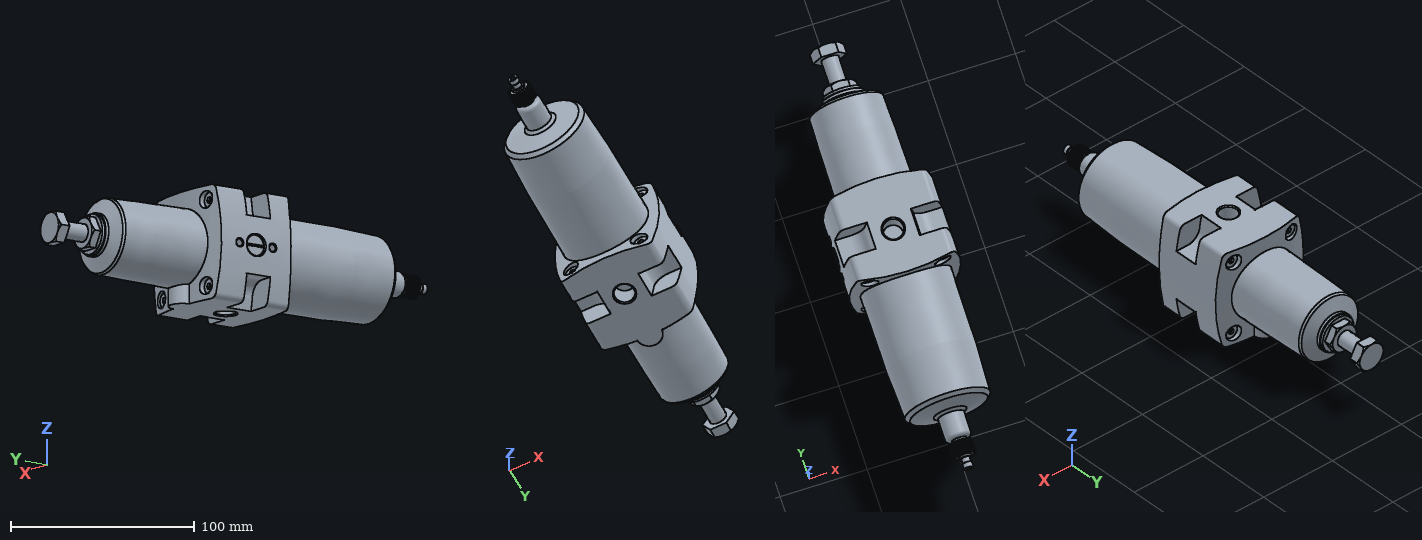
import cadquery as cq
import math


length = 251.3
top_end = length / 2
bottom_end = -length / 2

block_width = 64.0
block_top = 37.7
block_bottom = -17.8
block_bulge = 4.5
block_corner_radius = 3.8
half_width = block_width / 2
block_mid = (block_top + block_bottom) / 2

notch_wall_top_x = 12.5
notch_wall_foot_x = 13.8
notch_floor_z = 16.3
notch_radius = 8.8
notch_length = 15.8
notch_y = 7.5

port_diameter = 11.5
port_mouth_diameter = 13.0
port_depth = 12.5
plug_recess = 1.0
plug_slot_width = 1.0
plug_slot_depth = 1.5
side_hole_diameter = 4.0
side_hole_mouth_diameter = 5.0
side_hole_spacing = 22.0
side_hole_depth = 6.3
drill_tip_angle = 118.0

head_x = 20.9
head_z = 24.0
head_pocket_diameter = 9.5
head_diameter = 8.3
head_pocket_depth = 5.0
head_height = 3.0
socket_flats = 3.0
socket_depth = 1.5

vent_radius = 7.5
vent_y = 36.7

bonnet_seat = 34.0
bonnet_base_radius = 22.4
bonnet_seam_radius = 21.9
bonnet_seam = 70.9
bonnet_shoulder_radius = 21.4
bonnet_shoulder = 89.7
bonnet_cone_radius = 20.5
bonnet_cone_start = 91.2
bonnet_cone_end = 94.5
bonnet_collar_radius = 12.0
bonnet_collar_end = 96.5
bonnet_nose_radius = 11.3
bonnet_nose_end = 98.3

hex_flats = 17.0
hex_chamfer = 1.0
shank_diameter = 10.0
bolt_head_height = 6.5
nut_height = 5.0
shank_end = 88.0

bowl_seat = -13.8
bowl_base_radius = 26.1
bowl_seam_radius = 26.0
bowl_seam = -60.3
bowl_rim_radius = 24.6
bowl_rim = -88.2
bowl_end_radius = 22.4
bowl_end = -90.5
bowl_cone_radius = 9.5
bowl_cone_end = -92.7
spout_radius = 7.5
spout_start = -94.2
spout_end = -108.5
spout_round = 2.3

stem_diameter = 8.5
stem_length = 5.0
knob_diameter = 13.0
knob_root_diameter = 11.0
knob_start = -110.3
knob_end = -118.4
knob_teeth = 36
collar_diameter = 7.5
collar_end = -119.5
neck_diameter = 5.0
tip_diameter = 5.8
tip_start = -122.6
drain_bore_diameter = 2.5
drain_bore_depth = 3.8


def turned(points):
    """Solid of revolution about Y from (radius, y) points."""
    return cq.Workplane("XY").polyline(points).close().revolve(360, (0, 0), (0, 1))


def cylinder_y(diameter, y_low, y_high, x=0.0, z=0.0):
    """Cylinder along Y between two heights."""
    start = cq.Workplane("XZ", origin=(x, y_low, z))
    return start.circle(diameter / 2).extrude(-(y_high - y_low))


def hexagon_y(flats, y_low, y_high, x=0.0, z=0.0):
    """Hexagonal prism along Y with two corners on the X direction."""
    start = cq.Workplane("XZ", origin=(x, y_low, z))
    return start.polygon(6, flats / math.cos(math.pi / 6)).extrude(-(y_high - y_low))


def chamfered_hexagon(flats, y_low, y_high):
    """Hexagonal prism whose corners are turned to a cone at the +Y end."""
    corner_radius = flats / 2 / math.cos(math.pi / 6)
    cone = turned([
        (0, y_low),
        (corner_radius, y_low),
        (corner_radius, y_high - hex_chamfer),
        (flats / 2, y_high),
        (0, y_high),
    ])
    return hexagon_y(flats, y_low, y_high).intersect(cone)



def block_blank():
    """Barrel-sided block whose two ends bulge along Y."""
    bulge_x = half_width - block_bulge
    front = (
        cq.Workplane("XZ", origin=(0, block_bottom, 0))
        .moveTo(-bulge_x, half_width)
        .lineTo(bulge_x, half_width)
        .threePointArc((half_width, 0), (bulge_x, -half_width))
        .lineTo(-bulge_x, -half_width)
        .threePointArc((-half_width, 0), (-bulge_x, half_width))
        .close()
        .extrude(-(block_top - block_bottom))
        .edges("|Y")
        .fillet(block_corner_radius)
    )
    plan = (
        cq.Workplane("XY", origin=(0, 0, -half_width))
        .moveTo(-half_width, block_top - block_bulge)
        .threePointArc((0, block_top), (half_width, block_top - block_bulge))
        .lineTo(half_width, block_bottom + block_bulge)
        .threePointArc((0, block_bottom), (-half_width, block_bottom + block_bulge))
        .close()
        .extrude(block_width)
    )
    return front.intersect(plan)


def corner_notch():
    """Cutter for the +X +Z notch: a flat floor rising through a round into a leaning wall."""
    round_x = notch_wall_foot_x + notch_radius
    round_z = notch_floor_z + notch_radius
    diagonal = notch_radius * math.cos(math.pi / 4)
    return (
        cq.Workplane("XZ", origin=(0, notch_y - notch_length / 2, 0))
        .moveTo(half_width, notch_floor_z)
        .lineTo(round_x, notch_floor_z)
        .threePointArc((round_x - diagonal, round_z - diagonal), (notch_wall_foot_x, round_z))
        .lineTo(notch_wall_top_x, half_width)
        .lineTo(half_width, half_width)
        .close()
        .extrude(-notch_length)
    )


def drilled_hole(diameter, mouth_diameter, depth, entry, inward, tip_angle=180.0):
    """Cutter for a blind hole with a 45 degree mouth; a tip angle of 180 gives a flat floor."""
    radius = diameter / 2
    mouth_radius = mouth_diameter / 2
    tip_depth = radius / math.tan(math.radians(tip_angle / 2))
    points = [
        (0, 0),
        (mouth_radius, 0),
        (radius, mouth_radius - radius),
        (radius, depth),
        (0, depth + tip_depth),
    ]
    hole = cq.Workplane("XZ").polyline(points).close().revolve(360, (0, 0), (0, 1))
    return hole.val().moved(cq.Plane(origin=entry, xDir=(0, 1, 0), normal=inward).location)


def plugged_port():
    """Cutter for the -X gauge port, leaving a slotted plug just below the surface."""
    face_x = -half_width
    recess = drilled_hole(
        port_diameter, port_mouth_diameter, plug_recess, (face_x, block_mid, 0), (1, 0, 0)
    )
    slot = cq.Workplane("XY").box(
        plug_slot_depth, port_diameter, plug_slot_width, centered=(False, True, True)
    ).translate((face_x + plug_recess, block_mid, 0))
    return slot.union(cq.Workplane(recess))


def socket_head_pocket(x, z, face_y, inward):
    """Cutter that leaves a socket head standing in a counterbore; inward is +1 or -1 along Y."""
    floor_y = face_y + inward * head_pocket_depth
    head_y = floor_y - inward * head_height
    socket_y = head_y + inward * socket_depth
    outside_y = face_y - inward * block_bulge
    pocket = cylinder_y(head_pocket_diameter, *sorted((outside_y, floor_y)), x, z)
    head = cylinder_y(head_diameter, *sorted((head_y, floor_y)), x, z)
    socket = hexagon_y(socket_flats, *sorted((head_y, socket_y)), x, z)
    return pocket.cut(head).union(socket)


def make_block(bonnet, bowl):
    """Block with its notches, ports and screw pockets, seated around the bonnet and the bowl."""
    block = block_blank()
    notch = corner_notch()
    for mirrored_x in (notch, notch.mirror("YZ")):
        block = block.cut(mirrored_x).cut(mirrored_x.mirror("XY"))

    for side in (1, -1):
        block = block.cut(cq.Workplane(drilled_hole(
            port_diameter, port_mouth_diameter, port_depth, (0, notch_y, side * half_width), (0, 0, -side)
        )))
    block = block.cut(plugged_port())
    for y in (block_mid - side_hole_spacing / 2, block_mid + side_hole_spacing / 2):
        block = block.cut(cq.Workplane(drilled_hole(
            side_hole_diameter, side_hole_mouth_diameter, side_hole_depth,
            (-half_width, y, 0), (1, 0, 0), drill_tip_angle,
        )))

    end_drop = block_bulge * (head_x / half_width) ** 2
    for x in (-head_x, head_x):
        for z in (-head_z, head_z):
            block = block.cut(socket_head_pocket(x, z, block_bottom + end_drop, 1))
            block = block.cut(socket_head_pocket(x, z, block_top - end_drop, -1))
    vent = cq.Workplane("XY", origin=(0, vent_y, -half_width)).circle(vent_radius).extrude(half_width)
    return block.union(vent).cut(bonnet).cut(bowl)



def make_bonnet():
    """Tapered bonnet with a stepped nose and a blind hole for the bolt."""
    body = turned([
        (0, bonnet_seat),
        (bonnet_base_radius, bonnet_seat),
        (bonnet_seam_radius, bonnet_seam),
        (bonnet_shoulder_radius, bonnet_shoulder),
        (bonnet_cone_radius, bonnet_cone_start),
        (bonnet_collar_radius, bonnet_cone_end),
        (bonnet_collar_radius, bonnet_collar_end),
        (bonnet_nose_radius, bonnet_collar_end),
        (bonnet_nose_radius, bonnet_nose_end),
        (0, bonnet_nose_end),
    ])
    return body.cut(cylinder_y(shank_diameter, shank_end, bonnet_nose_end))



def make_bolt():
    """Hexagon bolt whose shank passes through the lock nut into the bonnet."""
    head_start = top_end - bolt_head_height
    head = chamfered_hexagon(hex_flats, head_start, top_end)
    return head.union(cylinder_y(shank_diameter, shank_end, head_start))



def make_lock_nut():
    """Hexagon nut resting on the bonnet nose."""
    nut_end = bonnet_nose_end + nut_height
    nut = chamfered_hexagon(hex_flats, bonnet_nose_end, nut_end)
    return nut.cut(cylinder_y(shank_diameter, bonnet_nose_end, nut_end))



def make_bowl():
    """Tapered bowl with a spout that holds the drain stem."""
    body = turned([
        (0, bowl_seat),
        (bowl_base_radius, bowl_seat),
        (bowl_seam_radius, bowl_seam),
        (bowl_rim_radius, bowl_rim),
        (bowl_end_radius, bowl_end),
        (bowl_cone_radius, bowl_cone_end),
        (spout_radius, spout_start),
        (spout_radius, spout_end),
        (0, spout_end),
    ])
    body = body.faces("<Y").edges().fillet(spout_round)
    return body.cut(cylinder_y(stem_diameter, spout_end, spout_end + stem_length))



def knurled_knob():
    """Knob with straight pointed teeth all round."""
    points = []
    for i in range(2 * knob_teeth):
        angle = math.pi * i / knob_teeth
        radius = (knob_diameter if i % 2 == 0 else knob_root_diameter) / 2
        points.append((radius * math.cos(angle), radius * math.sin(angle)))
    start = cq.Workplane("XZ", origin=(0, knob_end, 0))
    return start.polyline(points).close().extrude(-(knob_start - knob_end))


def make_drain():
    """Drain valve: stem, knurled knob and a hollow hose tip."""
    drain = (
        knurled_knob()
        .union(cylinder_y(stem_diameter, knob_start, spout_end + stem_length))
        .union(cylinder_y(collar_diameter, collar_end, knob_end))
        .union(cylinder_y(neck_diameter, tip_start, collar_end))
        .union(cylinder_y(tip_diameter, bottom_end, tip_start))
    )
    return drain.cut(cylinder_y(drain_bore_diameter, bottom_end, bottom_end + drain_bore_depth))


bonnet = make_bonnet()
bowl = make_bowl()
block = make_block(bonnet, bowl)
bolt = make_bolt()
lock_nut = make_lock_nut()
drain = make_drain()

result = cq.Compound.makeCompound([
    block.val(), bonnet.val(), bowl.val(), bolt.val(), lock_nut.val(), drain.val(),
])